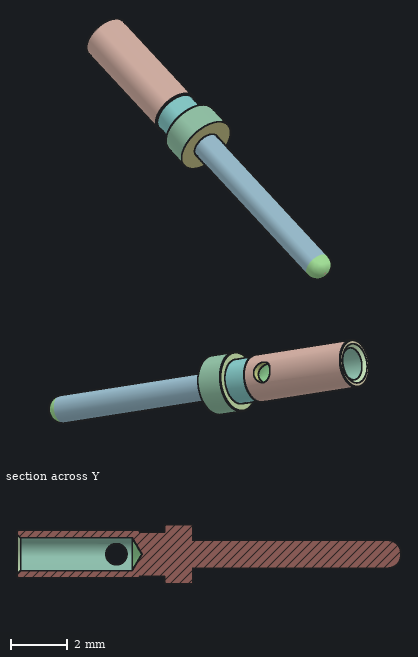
import cadquery as cq
import math

total_length = 13.64

barrel_diameter = 1.7
barrel_length = 4.36
neck_diameter = 1.6
collar_start = 5.24

collar_diameter = 2.13
collar_width = 1.01

pin_diameter = 1.01
pin_radius = pin_diameter / 2
tip_rounding = 0.46

edge_break = 0.03

bore_diameter = 1.15
bore_depth = 4.09
bore_mouth_diameter = 1.4
countersink_depth = (bore_mouth_diameter - bore_diameter) / 2
drill_point_angle = 118.0

inspection_diameter = 0.74
inspection_position = 3.53


def turned_body():
    collar_end = collar_start + collar_width
    barrel_radius = barrel_diameter / 2
    collar_radius = collar_diameter / 2
    tip_start = total_length - tip_rounding
    tip_flat_radius = pin_radius - tip_rounding
    diagonal = tip_rounding * math.sqrt(0.5)
    return (
        cq.Workplane("XY")
        .lineTo(0, barrel_radius - edge_break)
        .lineTo(edge_break, barrel_radius)
        .lineTo(barrel_length - edge_break, barrel_radius)
        .lineTo(barrel_length, barrel_radius - edge_break)
        .lineTo(barrel_length, neck_diameter / 2)
        .lineTo(collar_start, neck_diameter / 2)
        .lineTo(collar_start, collar_radius - edge_break)
        .lineTo(collar_start + edge_break, collar_radius)
        .lineTo(collar_end, collar_radius)
        .lineTo(collar_end, pin_radius)
        .lineTo(tip_start, pin_radius)
        .threePointArc(
            (tip_start + diagonal, tip_flat_radius + diagonal),
            (total_length, tip_flat_radius),
        )
        .lineTo(total_length, 0)
        .close()
        .revolve(360, (0, 0, 0), (1, 0, 0))
    )


def wire_bore():
    bore_radius = bore_diameter / 2
    point_length = bore_radius / math.tan(math.radians(drill_point_angle / 2))
    return (
        cq.Workplane("XY")
        .lineTo(0, bore_mouth_diameter / 2)
        .lineTo(countersink_depth, bore_radius)
        .lineTo(bore_depth, bore_radius)
        .lineTo(bore_depth + point_length, 0)
        .close()
        .revolve(360, (0, 0, 0), (1, 0, 0))
    )


def inspection_hole():
    axis_start = cq.Vector(inspection_position, 0, 0)
    return cq.Workplane(
        cq.Solid.makeCylinder(inspection_diameter / 2, barrel_diameter, axis_start, cq.Vector(0, 1, 0))
    )


result = turned_body().cut(wire_bore()).cut(inspection_hole())